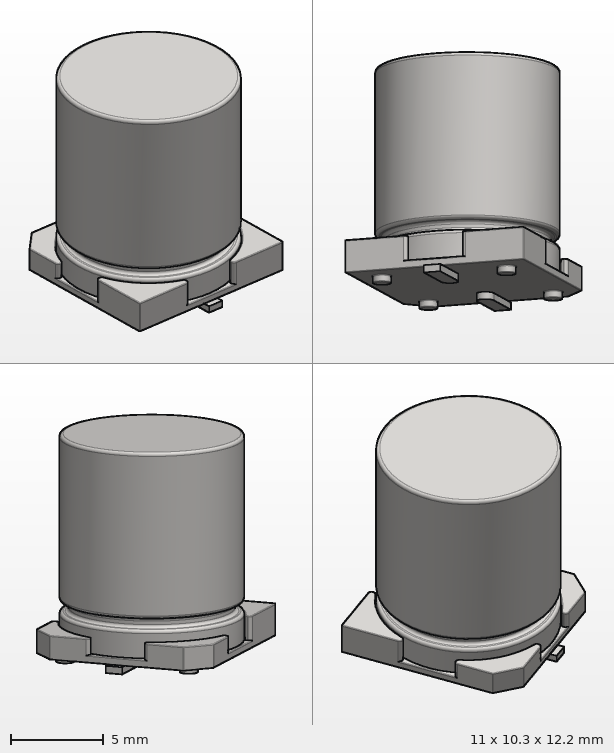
import cadquery as cq

TOTAL_HEIGHT = 12.2
TERMINAL_SPAN = 11.0

CAN_RADIUS = 10.0 / 2
NECK_RADIUS = 9.0 / 2
CAN_ROUND = 0.2
GROOVE_BOTTOM = 2.21
NECK_FLAT = 0.2

BASE_SIDE = 10.3
BASE_BOTTOM = 0.4
FLOOR_TOP = 0.83
LOW_POST_TOP = 1.75
TALL_POST_TOP = 2.2
CORNER_BEVEL = 1.26
EDGE_ROUND = 0.05

OPENING_WIDTH = 3.17
CAN_GAP = 0.05
BORE_RADIUS = CAN_RADIUS + CAN_GAP
POST_ROUND = 0.2

PIN_RADIUS = 1.0 / 2
PIN_OFFSET = 3.6
TERMINAL_WIDTH = 0.95
TERMINAL_INNER_END = 2.29


def make_can():
    """Revolve the can's half section, with rounded rims and groove edges."""
    r = CAN_ROUND
    bend = r * 0.5**0.5
    lip_radius = CAN_RADIUS - r
    fillet_radius = NECK_RADIUS + r
    lower_lip = GROOVE_BOTTOM + r
    neck_start = lower_lip + r
    neck_end = neck_start + NECK_FLAT
    upper_lip = neck_end + r
    wall_start = upper_lip + r
    section = (
        cq.Workplane("XZ")
        .moveTo(0, BASE_BOTTOM)
        .lineTo(CAN_RADIUS, BASE_BOTTOM)
        .lineTo(CAN_RADIUS, GROOVE_BOTTOM)
        .threePointArc((lip_radius + bend, GROOVE_BOTTOM + bend), (lip_radius, lower_lip))
        .lineTo(fillet_radius, lower_lip)
        .threePointArc((fillet_radius - bend, neck_start - bend), (NECK_RADIUS, neck_start))
        .lineTo(NECK_RADIUS, neck_end)
        .threePointArc((fillet_radius - bend, neck_end + bend), (fillet_radius, upper_lip))
        .lineTo(lip_radius, upper_lip)
        .threePointArc((lip_radius + bend, wall_start - bend), (CAN_RADIUS, wall_start))
        .lineTo(CAN_RADIUS, TOTAL_HEIGHT - r)
        .threePointArc((lip_radius + bend, TOTAL_HEIGHT - r + bend), (lip_radius, TOTAL_HEIGHT))
        .lineTo(0, TOTAL_HEIGHT)
        .close()
    )
    return section.revolve(360, (0, 0, 0), (0, 1, 0))


def base_block(bottom, top):
    """Square block with bevelled -X corners and slightly rounded upright edges."""
    return (
        cq.Workplane("XY")
        .workplane(offset=bottom)
        .rect(BASE_SIDE, BASE_SIDE)
        .extrude(top - bottom)
        .edges("|Z and <X")
        .chamfer(CORNER_BEVEL)
        .edges("|Z")
        .fillet(EDGE_ROUND)
    )


def make_floor():
    """Thin plate that carries the posts, the pins and the can."""
    return base_block(BASE_BOTTOM, FLOOR_TOP).faces("<Z or >Z").edges().fillet(EDGE_ROUND)


def make_post(x_side, y_side, top):
    """Corner post that surrounds the can, with its upright corners and top edges rounded."""
    quarter = BASE_SIDE / 2
    center = (OPENING_WIDTH + quarter) / 2
    corner = (
        cq.Workplane("XY")
        .center(x_side * center, y_side * center)
        .rect(quarter, quarter)
        .extrude(TOTAL_HEIGHT)
    )
    bore = cq.Workplane("XY").circle(BORE_RADIUS).extrude(TOTAL_HEIGHT)
    post = base_block(BASE_BOTTOM + EDGE_ROUND, top).intersect(corner).cut(bore)

    x_opening = "<X" if x_side > 0 else ">X"
    y_opening = "<Y" if y_side > 0 else ">Y"
    post = post.faces(f"{x_opening} or {y_opening}").edges("|Z").fillet(POST_ROUND)
    return post.faces(">Z").edges().fillet(EDGE_ROUND)


def make_pin(x, y):
    """Standoff pin with a rounded tip and a small flare where it meets the base."""
    r = EDGE_ROUND
    bend = r * (1 - 0.5**0.5)
    flare_radius = PIN_RADIUS + r
    section = (
        cq.Workplane("XZ")
        .lineTo(PIN_RADIUS - r, 0)
        .threePointArc((PIN_RADIUS - bend, bend), (PIN_RADIUS, r))
        .lineTo(PIN_RADIUS, BASE_BOTTOM - r)
        .threePointArc((PIN_RADIUS + bend, BASE_BOTTOM - bend), (flare_radius, BASE_BOTTOM))
        .lineTo(flare_radius, BASE_BOTTOM + r)
        .lineTo(0, BASE_BOTTOM + r)
        .close()
    )
    return section.revolve(360, (0, 0, 0), (0, 1, 0)).translate((x, y, 0))


def make_terminal(side):
    """Flat terminal with a half-round inner end, running out past the base."""
    end_radius = TERMINAL_WIDTH / 2
    end_center = TERMINAL_INNER_END + end_radius
    length = TERMINAL_SPAN / 2 - end_center
    strip = (
        cq.Workplane("XY")
        .center(side * (end_center + length / 2), 0)
        .rect(length, TERMINAL_WIDTH)
        .extrude(BASE_BOTTOM)
    )
    round_end = cq.Workplane("XY").center(side * end_center, 0).circle(end_radius).extrude(BASE_BOTTOM)
    return strip.union(round_end)


result = make_floor().union(make_can())

for x_side, post_top in ((-1, LOW_POST_TOP), (1, TALL_POST_TOP)):
    result = result.union(make_terminal(x_side))
    for y_side in (-1, 1):
        result = result.union(make_post(x_side, y_side, post_top))
        result = result.union(make_pin(x_side * PIN_OFFSET, y_side * PIN_OFFSET))